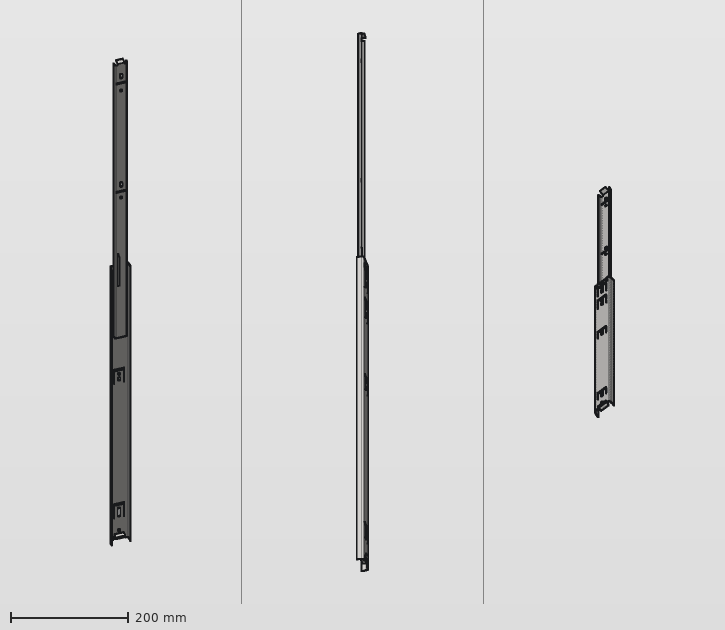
import cadquery as cq
import math


SLIDE_DEPTH = 12.7
OUTER_WIDTH = 35.59
CHANNEL_LENGTH = 650.0
TRAVEL = 488.0
SLIDE_TOP = TRAVEL + CHANNEL_LENGTH
SHEET = 1.5
CORNER_RADIUS = 2.0

OUTER_LEAN = 13.5
OUTER_BOW_RADIUS = 19.0
OUTER_BOW_CREST = 9.2

INNER_WIDTH = 24.8
INNER_DEPTH = 7.3
INNER_LEAN = 13.0
INNER_BOW_RADIUS = 16.0
INNER_BOW_CREST = 8.4

PIN_HOLE = 4.0
SLOT_WIDTH = 4.5
SHORT_SLOT = 10.5
LONG_SLOT = 15.0

TONGUE_WIDTH = 18.6
TONGUE_TOP_SLIT = 3.4
TONGUE_SIDE_SLIT = 0.7
LONG_TONGUE = 43.0
SHORT_TONGUE = 33.0
LONG_TONGUE_TOPS = (632.4, 567.3)
MIDDLE_TONGUE_TOP = 402.7
LOWER_TONGUE_TOP = 84.0
LONG_TONGUE_SLOT_DROP = 12.0
LONG_TONGUE_SHORT_SLOT_DROP = 32.4
MIDDLE_TONGUE_HOLE_DROP = 11.9
MIDDLE_TONGUE_SLOT_DROP = 23.9
MIDDLE_TONGUE_SLOT = 7.5
LOWER_TONGUE_SLOT_DROP = 20.6
LOWER_TONGUE_SLOT = 20.5

TOP_HOLE_Z = 637.5
TOP_HOLE_PITCH = 10.3
BOTTOM_HOLE_Z = 20.6
END_NOTCH_HEIGHT = 6.6
END_NOTCH_WIDTH = 18.0
END_NOTCH_CHAMFER = 2.5

BUMPER_WIDTH = 17.0
BUMPER_BOTTOM = 8.5
BUMPER_HEIGHT = 4.5
BUMPER_REACH = 9.0

INNER_SLOT_HEIGHTS = (1107.0, 850.0)
INNER_HOLE_HEIGHTS = (1073.0, 819.2)
RIB_HEIGHTS = (1090.0, 833.0)
RIB_LENGTH = 17.5
RIB_BREADTH = 3.4
RIB_RISE = 0.8

TAB_WIDTH = 12.4
TAB_EDGE_X = 2.2
TAB_RISE = 3.24

LEVER_THICKNESS = 2.2
LEVER_LEFT_Y = -2.4
LEVER_MID_Y = -4.8
LEVER_RIGHT_Y = -6.2
LEVER_TOP = 687.0
LEVER_SHOULDER = 676.5
LEVER_BOTTOM = 610.0


def channel_outline(width, depth, lean, bow_radius, bow_crest, inset, flip):
    """Closed outline of a channel, `inset` inside its outer skin.

    The web is at depth 0; with `flip` the depth runs from the +X side of the slide towards -X.
    """
    lean_sin = math.sin(math.radians(lean))
    lean_cos = math.cos(math.radians(lean))
    bow_centre_y = width / 2 - bow_radius
    bow = bow_radius - inset
    corner = CORNER_RADIUS - inset
    wall_offset = bow_radius - CORNER_RADIUS + (CORNER_RADIUS - bow_crest) * lean_sin
    corner_y = bow_centre_y + wall_offset / lean_cos
    half_turn = math.radians((90 - lean) / 2)

    def on_bow(at_depth):
        return (at_depth, bow_centre_y + math.sqrt(bow**2 - (at_depth - bow_crest) ** 2))

    web_end = (inset, corner_y)
    corner_mid = (CORNER_RADIUS - corner * math.cos(half_turn), corner_y + corner * math.sin(half_turn))
    corner_end = (CORNER_RADIUS - corner * lean_sin, corner_y + corner * lean_cos)
    bow_start = on_bow(bow_crest - bow * lean_sin)
    bow_end = on_bow(depth)
    bow_mid = on_bow((bow_start[0] + bow_end[0]) / 2)

    def place(point, side):
        x = SLIDE_DEPTH - point[0] if flip else point[0]
        return (x, side * point[1])

    outline = cq.Workplane("XY").moveTo(*place(web_end, 1))
    outline = outline.threePointArc(place(corner_mid, 1), place(corner_end, 1))
    outline = outline.lineTo(*place(bow_start, 1))
    outline = outline.threePointArc(place(bow_mid, 1), place(bow_end, 1))
    outline = outline.lineTo(*place(bow_end, -1))
    outline = outline.threePointArc(place(bow_mid, -1), place(bow_start, -1))
    outline = outline.lineTo(*place(corner_end, -1))
    outline = outline.threePointArc(place(corner_mid, -1), place(web_end, -1))
    return outline.close()


def channel(width, depth, lean, bow_radius, bow_crest, length, flip):
    """Sheet channel standing on Z = 0, open on the side away from its web."""
    section = (width, depth, lean, bow_radius, bow_crest)
    skin = channel_outline(*section, 0, flip).extrude(length)
    hollow = channel_outline(*section, SHEET, flip).extrude(length)
    return skin.cut(hollow)


def block(x_range, y_range, z_range):
    sizes = [high - low for low, high in (x_range, y_range, z_range)]
    return cq.Workplane("XY").box(*sizes, centered=False).translate((x_range[0], y_range[0], z_range[0]))


def web_plane(web_x):
    """YZ plane on the -X face of a web; extruding from it goes through the web."""
    return cq.Workplane("YZ", origin=(web_x, 0, 0))


def web_hole(web_x, y, z):
    return web_plane(web_x).center(y, z).circle(PIN_HOLE / 2).extrude(SHEET)


def web_slot(web_x, z, length):
    return web_plane(web_x).center(0, z).slot2D(length, SLOT_WIDTH, 90).extrude(SHEET)


def tongue_slit(top, length):
    """U-shaped slit: a wide crosswise gap with a narrow gap down each side."""
    half = TONGUE_WIDTH / 2
    bottom = top - length
    web = (0, SHEET)
    slit = block(web, (-half, half), (top - TONGUE_TOP_SLIT, top))
    for low in (-half, half - TONGUE_SIDE_SLIT):
        slit = slit.union(block(web, (low, low + TONGUE_SIDE_SLIT), (bottom, top)))
    return slit


def end_notch():
    """Notch through the web at the bottom end, flared at its mouth."""
    half = END_NOTCH_WIDTH / 2
    mouth = half + END_NOTCH_CHAMFER
    corners = [
        (-mouth, 0),
        (mouth, 0),
        (half, END_NOTCH_CHAMFER),
        (half, END_NOTCH_HEIGHT),
        (-half, END_NOTCH_HEIGHT),
        (-half, END_NOTCH_CHAMFER),
    ]
    return web_plane(0).polyline(corners).close().extrude(SHEET)


def make_bumper():
    half = BUMPER_WIDTH / 2
    return block((0, BUMPER_REACH), (-half, half), (BUMPER_BOTTOM, BUMPER_BOTTOM + BUMPER_HEIGHT))


def make_outer_channel(bumper):
    body = channel(OUTER_WIDTH, SLIDE_DEPTH, OUTER_LEAN, OUTER_BOW_RADIUS, OUTER_BOW_CREST,
                   CHANNEL_LENGTH, flip=False)
    for top in LONG_TONGUE_TOPS:
        body = body.cut(tongue_slit(top, LONG_TONGUE))
        body = body.cut(web_slot(0, top - LONG_TONGUE_SLOT_DROP, LONG_SLOT))
        body = body.cut(web_slot(0, top - LONG_TONGUE_SHORT_SLOT_DROP, SHORT_SLOT))
    body = body.cut(tongue_slit(MIDDLE_TONGUE_TOP, SHORT_TONGUE))
    body = body.cut(web_hole(0, 0, MIDDLE_TONGUE_TOP - MIDDLE_TONGUE_HOLE_DROP))
    body = body.cut(web_slot(0, MIDDLE_TONGUE_TOP - MIDDLE_TONGUE_SLOT_DROP, MIDDLE_TONGUE_SLOT))
    body = body.cut(tongue_slit(LOWER_TONGUE_TOP, SHORT_TONGUE))
    body = body.cut(web_slot(0, LOWER_TONGUE_TOP - LOWER_TONGUE_SLOT_DROP, LOWER_TONGUE_SLOT))
    for y in (-TOP_HOLE_PITCH, 0, TOP_HOLE_PITCH):
        body = body.cut(web_hole(0, y, TOP_HOLE_Z))
    body = body.cut(web_hole(0, 0, BOTTOM_HOLE_Z))
    body = body.cut(end_notch())
    return body.cut(bumper)


def make_inner_channel():
    length = CHANNEL_LENGTH - TAB_RISE
    web_x = SLIDE_DEPTH - SHEET
    body = channel(INNER_WIDTH, INNER_DEPTH, INNER_LEAN, INNER_BOW_RADIUS, INNER_BOW_CREST,
                   length, flip=True).translate((0, 0, TRAVEL))
    half_tab = TAB_WIDTH / 2
    tab_sides = (-half_tab, half_tab)
    body = body.union(block((web_x, SLIDE_DEPTH), tab_sides, (TRAVEL + length, SLIDE_TOP)))
    body = body.union(block((TAB_EDGE_X, SLIDE_DEPTH), tab_sides, (SLIDE_TOP - SHEET, SLIDE_TOP)))
    rib_sides = (-RIB_LENGTH / 2, RIB_LENGTH / 2)
    for z in RIB_HEIGHTS:
        rib_height = (z - RIB_BREADTH / 2, z + RIB_BREADTH / 2)
        body = body.union(block((web_x - RIB_RISE, web_x), rib_sides, rib_height))
    for z in INNER_SLOT_HEIGHTS:
        body = body.cut(web_slot(web_x, z, SHORT_SLOT))
    for z in INNER_HOLE_HEIGHTS:
        body = body.cut(web_hole(web_x, 0, z))
    return body


def make_lever():
    """Flat lever with one side of its upper end tapered."""
    corners = [
        (LEVER_LEFT_Y, LEVER_BOTTOM),
        (LEVER_LEFT_Y, LEVER_SHOULDER),
        (LEVER_MID_Y, LEVER_TOP),
        (LEVER_RIGHT_Y, LEVER_TOP),
        (LEVER_RIGHT_Y, LEVER_BOTTOM),
    ]
    return web_plane(SLIDE_DEPTH - SHEET - LEVER_THICKNESS).polyline(corners).close().extrude(LEVER_THICKNESS)


bumper = make_bumper()
outer_channel = make_outer_channel(bumper)
inner_channel = make_inner_channel()
lever = make_lever()

result = cq.Compound.makeCompound([
    outer_channel.val(),
    inner_channel.val(),
    lever.val(),
    bumper.val(),
])